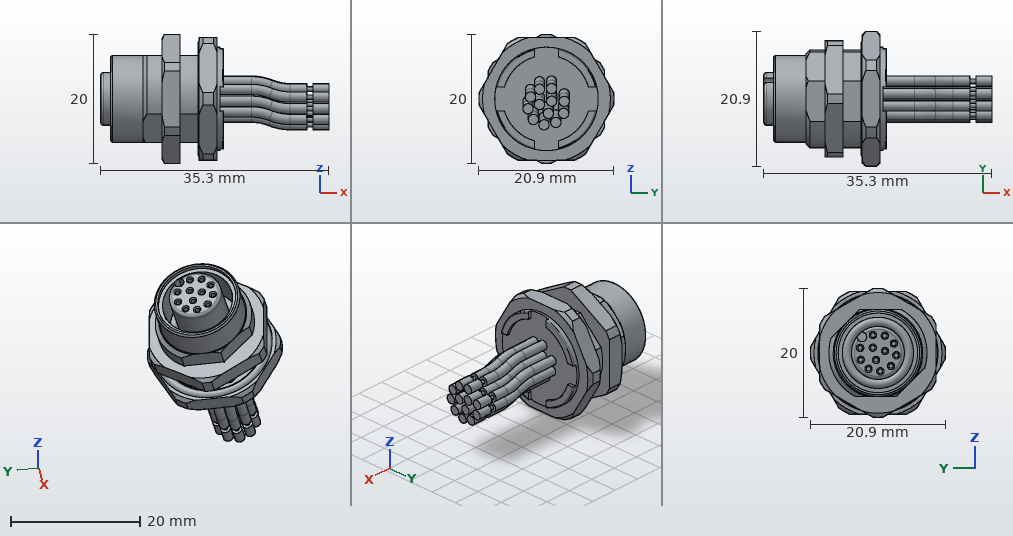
import cadquery as cq
import math


insert_radius = 4.1
insert_edge_fillet = 0.45
key_diameter = 1.5
key_centre_radius = 3.5
key_angle = 45

outer_contacts = 9
outer_contact_circle = 2.85
outer_contact_pitch = 37.7
inner_contacts = 3
inner_contact_circle = 1.13
contact_hole_diameter = 0.7
contact_mouth_diameter = 1.13
contact_mouth_depth = 0.2
contact_hole_depth = 3.53

shell_front = 1.52
shell_diameter = 13.5
shell_chamfer = 0.3
counterbore_diameter = 12.3
counterbore_depth = 0.7
bore_diameter = 11.0
bore_floor = 8.47

thread_front = 6.5
thread_radius = 7.6
thread_cone_length = 0.67
flat_spacing = shell_diameter
flat_tilt = 45
thread_rear = 15.45

flange_front = 15.2
flange_rear = 18
flange_across_flats = 19.0
flange_corner_radius = 10.45
flange_chamfer = 0.55

seal_section_radius = 0.7
seal_protrusion = 0.18
seal_ring_radius = 8.5
groove_clearance = 0.07
groove_floor = flange_front - seal_protrusion + 2 * seal_section_radius

collar_floor = 18.45
collar_rear = 19.0
collar_diameter = 16.0
collar_end_diameter = 15.6
collar_bore_diameter = 13.5
collar_notch_width = 3.75

lead_diameter = 1.6
strand_diameter = 0.7
bend_start = 23.3
bend_end = 29.25
lead_drop = 1.15
strip_start = 31.85
strip_end = 32.8
lead_end = 35.3

nut_front = 9.45
nut_rear = 12.3
nut_across_flats = 18
nut_corner_radius = 10.0
nut_face_radius = 9.32
nut_chamfer_length = 0.4


def revolve_about_x(profile):
    """Full turn about the X axis of a closed profile drawn with x along and y as the radius."""
    return profile.close().revolve(360, (0, 0, 0), (1, 0, 0))


def cylinder(start, end, diameter, y=0, z=0):
    """Cylinder along X."""
    return cq.Workplane("YZ", origin=(start, y, z)).circle(diameter / 2).extrude(end - start)


def hexagon(start, end, across_flats, turn):
    """Hexagonal prism along X, with corners at +Y and -Y when turn is 0."""
    across_corners = across_flats / math.cos(math.radians(30))
    prism = cq.Workplane("YZ", origin=(start, 0, 0)).polygon(6, across_corners).extrude(end - start)
    return prism.rotate((0, 0, 0), (1, 0, 0), turn)


def polar_point(radius, angle):
    """The (y, z) point at an angle from +Y toward +Z."""
    return radius * math.cos(math.radians(angle)), radius * math.sin(math.radians(angle))


def contact_points():
    """The (y, z) centres shared by the contact holes and the leads."""
    free_gap = 360 - (outer_contacts - 1) * outer_contact_pitch
    first_angle = key_angle + free_gap / 2
    outer = [polar_point(outer_contact_circle, first_angle + i * outer_contact_pitch)
             for i in range(outer_contacts)]
    inner = [polar_point(inner_contact_circle, key_angle + i * 360 / inner_contacts)
             for i in range(inner_contacts)]
    return outer + inner


def threaded_section():
    """Thread envelope with a front cone, trimmed by two pairs of parallel flats."""
    cone_start_radius = thread_radius - thread_cone_length
    body = revolve_about_x(
        cq.Workplane("XY")
        .moveTo(thread_front, 0)
        .lineTo(thread_front, cone_start_radius)
        .lineTo(thread_front + thread_cone_length, thread_radius)
        .lineTo(thread_rear, thread_radius)
        .lineTo(thread_rear, 0)
    )
    length = thread_rear - thread_front
    slab = cq.Workplane("XY").box(length, 4 * thread_radius, flat_spacing)
    slab = slab.translate((thread_front + length / 2, 0, 0))
    tilted_slab = slab.rotate((0, 0, 0), (1, 0, 0), -flat_tilt)
    return body.intersect(slab).intersect(tilted_slab)


def insert_and_shell():
    """Insert and shell as one solid, before the space between them is removed."""
    shell_radius = shell_diameter / 2
    fillet_offset = insert_edge_fillet * (1 - math.sqrt(0.5))
    return revolve_about_x(
        cq.Workplane("XY")
        .lineTo(0, insert_radius - insert_edge_fillet)
        .threePointArc((fillet_offset, insert_radius - fillet_offset), (insert_edge_fillet, insert_radius))
        .lineTo(shell_front, insert_radius)
        .lineTo(shell_front, shell_radius - shell_chamfer)
        .lineTo(shell_front + shell_chamfer, shell_radius)
        .lineTo(thread_front, shell_radius)
        .lineTo(thread_front, 0)
    )


def socket_cavity():
    """Annular space around the insert; its floor carries a round bead that fills its width."""
    bore_radius = bore_diameter / 2
    counterbore_radius = counterbore_diameter / 2
    counterbore_floor = shell_front + counterbore_depth
    bead_radius = (bore_radius - insert_radius) / 2
    return revolve_about_x(
        cq.Workplane("XY")
        .moveTo(shell_front, insert_radius)
        .lineTo(shell_front, counterbore_radius)
        .lineTo(counterbore_floor, counterbore_radius)
        .lineTo(counterbore_floor, bore_radius)
        .lineTo(bore_floor, bore_radius)
        .threePointArc((bore_floor - bead_radius, insert_radius + bead_radius), (bore_floor, insert_radius))
    )


def keyway():
    """Round-bottomed key slot along the insert, down to the socket floor."""
    key_y, key_z = polar_point(key_centre_radius, key_angle)
    slot = cylinder(0, bore_floor, key_diameter, key_y, key_z)
    return slot.intersect(cylinder(0, bore_floor, 2 * insert_radius))


def contact_hole(y, z):
    hole_radius = contact_hole_diameter / 2
    hole = revolve_about_x(
        cq.Workplane("XY")
        .lineTo(0, contact_mouth_diameter / 2)
        .lineTo(contact_mouth_depth, hole_radius)
        .lineTo(contact_hole_depth, hole_radius)
        .lineTo(contact_hole_depth, 0)
    )
    return hole.translate((0, y, z))


def flange():
    """Hexagonal flange with rounded corners, a seal groove and a shallow relief inside the groove."""
    face_radius = flange_corner_radius - flange_chamfer
    rounding = revolve_about_x(
        cq.Workplane("XY")
        .moveTo(flange_front, 0)
        .lineTo(flange_front, face_radius)
        .lineTo(flange_front + flange_chamfer, flange_corner_radius)
        .lineTo(flange_rear - flange_chamfer, flange_corner_radius)
        .lineTo(flange_rear, face_radius)
        .lineTo(flange_rear, 0)
    )
    prism = hexagon(flange_front, flange_rear, flange_across_flats, 0)
    groove_half_width = seal_section_radius + groove_clearance
    groove = (
        cq.Workplane("YZ", origin=(flange_front, 0, 0))
        .circle(seal_ring_radius + groove_half_width)
        .circle(seal_ring_radius - groove_half_width)
        .extrude(groove_floor - flange_front)
    )
    relief = cylinder(flange_front, thread_rear, 2 * seal_ring_radius)
    return prism.intersect(rounding).cut(groove).cut(relief)


def rear_collar():
    """Collar hollowed from its rear end, its rim broken by four notches."""
    rim_fillet = (collar_diameter - collar_end_diameter) / 2
    rim_length = collar_rear - collar_floor
    collar = cylinder(flange_rear, collar_rear, collar_diameter).faces(">X").fillet(rim_fillet)
    collar = collar.cut(cylinder(collar_floor, collar_rear, collar_bore_diameter))
    notch = cq.Workplane("XY").box(rim_length, collar_diameter, collar_notch_width)
    notch = notch.translate((collar_floor + rim_length / 2, 0, 0))
    return collar.cut(notch).cut(notch.rotate((0, 0, 0), (1, 0, 0), 90))


def lead(y, z):
    """Insulated lead with an S-bend toward -Z and a short stripped length near its end."""
    bend_middle = ((bend_start + bend_end) / 2, z - lead_drop / 2)
    path = (
        cq.Workplane("XZ", origin=(0, y, 0))
        .moveTo(collar_floor, z)
        .lineTo(bend_start, z)
        .tangentArcPoint(bend_middle, relative=False)
        .tangentArcPoint((bend_end, z - lead_drop), relative=False)
        .lineTo(strip_start, z - lead_drop)
    )
    insulated = cq.Workplane("YZ", origin=(collar_floor, y, z)).circle(lead_diameter / 2).sweep(path)
    strand = cylinder(strip_start, strip_end, strand_diameter, y, z - lead_drop)
    tip = cylinder(strip_end, lead_end, lead_diameter, y, z - lead_drop)
    return insulated.union(strand).union(tip)


def make_connector():
    body = insert_and_shell().union(threaded_section()).union(flange()).union(rear_collar())
    body = body.cut(socket_cavity())
    body = body.cut(keyway())
    for y, z in contact_points():
        body = body.cut(contact_hole(y, z)).union(lead(y, z))
    return body


def make_seal_ring():
    seal_x = groove_floor - seal_section_radius
    section = cq.Workplane("XY").moveTo(seal_x, seal_ring_radius).circle(seal_section_radius)
    return section.revolve(360, (0, 0, 0), (1, 0, 0))


def make_nut():
    """Hexagonal nut whose bore follows the threaded section and its flats."""
    rounding = revolve_about_x(
        cq.Workplane("XY")
        .moveTo(nut_front, 0)
        .lineTo(nut_front, nut_face_radius)
        .lineTo(nut_front + nut_chamfer_length, nut_corner_radius)
        .lineTo(nut_rear, nut_corner_radius)
        .lineTo(nut_rear, 0)
    )
    prism = hexagon(nut_front, nut_rear, nut_across_flats, 30)
    return prism.intersect(rounding).cut(threaded_section())


connector = make_connector()
seal_ring = make_seal_ring()
nut = make_nut()

result = cq.Compound.makeCompound([connector.val(), seal_ring.val(), nut.val()])